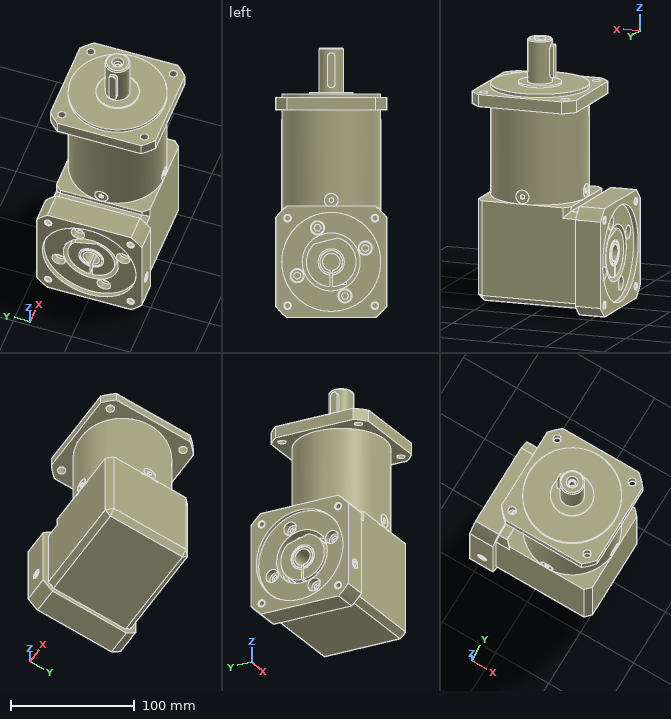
import cadquery as cq
import math


overall_height = 218.0
flange_width = 90.0
flange_corner_diameter = 115.0
bolt_spacing = 70.6
body_width = 80.0
housing_chamfer = 5.0

housing_top = 88.7
flange_bottom = 167.9
flange_top = 177.9
pilot_top = 180.7
seal_top = 182.0
flange_hole_diameter = 6.5

seal_diameter = 35.0
shaft_diameter = 20.0
shaft_chamfer = 1.0

key_width = 6.0
key_length = 28.1
key_bottom = 185.7
key_outer_reach = 12.6

center_cone_diameter = 9.5
center_relief_diameter = 6.3
center_drill_diameter = 5.0
center_cone_depth = 2.8
center_relief_depth = 6.0
center_drill_depth = 17.5
center_tip_depth = 19.0

plug_diameter = 11.1
plug_height = 94.8
plug_hex = 4.1
plug_hex_depth = 2.0

adapter_face = -69.5
adapter_thickness = 21.8
adapter_recess_depth = 4.0
adapter_hole_diameter = 4.8
adapter_hole_mouth = 6.0
adapter_mouth_depth = 0.7

hub_bore_diameter = 46.9
hub_diameter = 40.1
hub_setback = 0.98
hub_flat_distance = 17.5
hub_flat_tilt = 14.5
motor_bore_diameter = 14.0
motor_bore_depth = 28.3
sleeve_diameter = 18.3
sleeve_groove_diameter = 21.1
sleeve_groove_depth = 0.5
slit_width = 2.2
slit_step_radius = 12.6
slit_step_depth = 4.4

screw_circle_radius = 29.6
screw_first_angle = 68.0
screw_recess_diameter = 11.3
screw_recess_depth = 9.8
screw_head_diameter = 10.0
screw_head_height = 4.4
screw_hex = 5.9
screw_hex_depth = 2.6

clamp_axis_height = 31.5
clamp_setback = 11.5
clamp_head_diameter = 9.2
clamp_head_end = 12.5
access_diameter = 8.0
access_recess_depth = 0.33
access_hex = 4.4
access_hex_depth = 2.0

body_radius = body_width / 2
plug_root_radius = body_radius / 2
input_height = flange_width / 2
housing_bottom = input_height - body_radius
adapter_back = adapter_face + adapter_thickness
recess_floor = adapter_face + adapter_recess_depth
hub_face = recess_floor + hub_setback
clamp_x = adapter_face + clamp_setback


def rod_z(diameter, bottom, top):
    return cq.Workplane("XY", origin=(0, 0, bottom)).circle(diameter / 2).extrude(top - bottom)


def input_plane(x):
    """Sketch plane across the input axis: local X is +Y, local Y is +Z, extrusion runs to +X."""
    return cq.Workplane("YZ", origin=(x, 0, input_height))


def rod_x(diameter, start, end, y=0.0, z=0.0):
    """Cylinder along X; y and z are offsets from the input axis."""
    return input_plane(start).center(y, z).circle(diameter / 2).extrude(end - start)


def rounded_square(plane, thickness):
    """Square plate whose corners are trimmed by a concentric circle."""
    square = plane.rect(flange_width, flange_width).extrude(thickness)
    return square.intersect(plane.circle(flange_corner_diameter / 2).extrude(thickness))


def make_housing():
    """L-shaped block: a column under the cylinder and a leg reaching the adapter plate."""
    column_height = housing_top - housing_bottom
    column = (
        cq.Workplane("XY", origin=(0, 0, housing_bottom))
        .rect(body_width, body_width)
        .extrude(column_height)
        .edges("|Z or <Z")
        .chamfer(housing_chamfer)
    )
    leg = (
        input_plane(adapter_back)
        .rect(body_width, body_width)
        .extrude(body_radius - adapter_back)
        .edges("|X or >X")
        .chamfer(housing_chamfer)
    )
    return column.union(leg)


def make_output():
    """Cylinder, square flange, pilot, seal ring and shaft stacked along Z."""
    flange = rounded_square(cq.Workplane("XY", origin=(0, 0, flange_bottom)), flange_top - flange_bottom)
    flange = (
        flange.faces(">Z").workplane()
        .rect(bolt_spacing, bolt_spacing, forConstruction=True)
        .vertices()
        .hole(flange_hole_diameter)
    )
    shaft = rod_z(shaft_diameter, flange_top, overall_height).faces(">Z").chamfer(shaft_chamfer)
    key = (
        cq.Workplane("YZ", origin=(-key_outer_reach, 0, key_bottom + key_length / 2))
        .slot2D(key_length, key_width, 90)
        .extrude(key_outer_reach)
    )
    return (
        rod_z(body_width, housing_top, pilot_top)
        .union(flange)
        .union(rod_z(seal_diameter, flange_top, seal_top))
        .union(shaft)
        .union(key)
        .cut(make_center_hole())
    )


def make_center_hole():
    """Stepped center hole in the shaft end, revolved from its half profile."""
    cone_radius = center_cone_diameter / 2
    relief_radius = center_relief_diameter / 2
    drill_radius = center_drill_diameter / 2
    profile = [
        (0, 0),
        (cone_radius, 0),
        (relief_radius, -center_cone_depth),
        (relief_radius, -center_relief_depth),
        (drill_radius, -center_relief_depth),
        (drill_radius, -center_drill_depth),
        (0, -center_tip_depth),
    ]
    hole = cq.Workplane("XZ").polyline(profile).close().revolve(360, (0, 0, 0), (0, 1, 0))
    return hole.translate((0, 0, overall_height))


def add_plugs(body):
    """Four flat-ended plugs with hexagon sockets around the foot of the cylinder."""
    face = cq.Workplane("YZ", origin=(body_radius, 0, plug_height))
    plug = face.circle(plug_diameter / 2).extrude(plug_root_radius - body_radius)
    socket = face.transformed(rotate=(0, 0, 90)).polygon(6, plug_hex).extrude(-plug_hex_depth)
    for quarter in range(4):
        turn = 90 * quarter
        body = body.union(plug.rotate((0, 0, 0), (0, 0, 1), turn))
        body = body.cut(socket.rotate((0, 0, 0), (0, 0, 1), turn))
    return body


def make_adapter():
    """Motor adapter plate with its recess, hub bore and corner holes."""
    plate = rounded_square(input_plane(adapter_face), adapter_thickness)
    plate = plate.cut(rod_x(body_width, adapter_face, recess_floor))
    plate = plate.cut(rod_x(hub_bore_diameter, recess_floor, adapter_back))
    half = bolt_spacing / 2
    mouth_floor = adapter_face + adapter_mouth_depth
    for y in (-half, half):
        for z in (-half, half):
            plate = plate.cut(rod_x(adapter_hole_diameter, adapter_face, adapter_back, y, z))
            plate = plate.cut(rod_x(adapter_hole_mouth, adapter_face, mouth_floor, y, z))
    return plate.cut(make_access_recess())


def make_access_recess():
    """Shallow round recess with a hexagon socket on the -Y side, in line with the clamp screw."""
    plane = cq.Workplane("XZ", origin=(clamp_x, -flange_width / 2, clamp_axis_height))
    recess = plane.circle(access_diameter / 2).extrude(-access_recess_depth)
    return recess.union(plane.polygon(6, access_hex).extrude(-access_recess_depth - access_hex_depth))


def add_adapter_screws(plate):
    """Four socket head screws sunk into the floor of the adapter recess."""
    seat = recess_floor + screw_recess_depth
    head_top = seat - screw_head_height
    for quarter in range(4):
        turn = 90 * quarter
        angle = math.radians(screw_first_angle + turn)
        y = screw_circle_radius * math.cos(angle)
        z = screw_circle_radius * math.sin(angle)
        socket = (
            input_plane(head_top)
            .center(y, z)
            .transformed(rotate=(0, 0, turn))
            .polygon(6, screw_hex)
            .extrude(screw_hex_depth)
        )
        plate = plate.cut(rod_x(screw_recess_diameter, recess_floor, seat, y, z))
        plate = plate.union(rod_x(screw_head_diameter, head_top, seat, y, z).cut(socket))
    return plate


def make_clamp_hub():
    """Clamping hub with a balancing flat and the head of its clamp screw."""
    length = adapter_back - hub_face
    flat = (
        input_plane(hub_face)
        .center(0, hub_flat_distance + hub_diameter / 2)
        .rect(hub_diameter, hub_diameter)
        .extrude(length)
        .rotate((0, 0, input_height), (1, 0, input_height), -hub_flat_tilt)
    )
    groove_floor = hub_face + sleeve_groove_depth
    groove = rod_x(sleeve_groove_diameter, hub_face, groove_floor).cut(
        rod_x(sleeve_diameter, hub_face, groove_floor)
    )
    clamp_head = (
        cq.Workplane("XZ", origin=(clamp_x, 0, clamp_axis_height))
        .circle(clamp_head_diameter / 2)
        .extrude(clamp_head_end)
    )
    return (
        rod_x(hub_diameter, hub_face, adapter_back)
        .cut(flat)
        .union(clamp_head)
        .cut(groove)
    )


def slit_step(reach, depth):
    """Radial slit running from the input axis toward -Z."""
    return input_plane(hub_face).center(0, -reach / 2).rect(slit_width, reach).extrude(depth)


def make_motor_bore():
    """Blind motor shaft bore with the clamping slit, which gets deeper toward the bore."""
    hub_length = adapter_back - hub_face
    return (
        rod_x(motor_bore_diameter, hub_face, hub_face + motor_bore_depth)
        .union(slit_step(sleeve_diameter / 2, motor_bore_depth))
        .union(slit_step(slit_step_radius, hub_length + slit_step_depth))
        .union(slit_step(hub_diameter / 2, hub_length))
    )


result = (
    add_plugs(make_housing().union(make_output()))
    .union(add_adapter_screws(make_adapter()))
    .union(make_clamp_hub())
    .cut(make_motor_bore())
)